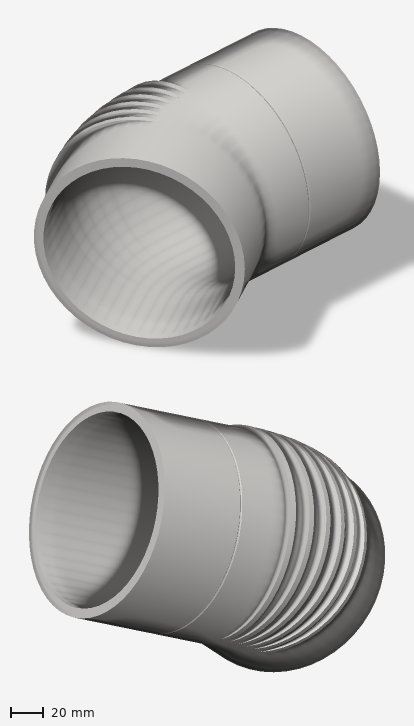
import cadquery as cq

outer_radius = 67.53
wall = 6.1
inner_radius = outer_radius - wall

bend_angle = 30
bend_radius = outer_radius + 2.2
lower_length = 46.5
upper_length = 96.2

groove_from_end = 59.1
groove_width = 1.5
groove_depth = 0.8

rib_count = 6
rib_width = 4.0
rib_offset = 5.8


def turn(body, angle):
    """Swing a body clockwise about the bend axis."""
    return body.rotate((bend_radius, 0, 0), (bend_radius, 0, 1), -angle)


def cylinder(radius, start, length):
    """Cylinder along +Y beginning at y = start."""
    plane = cq.Plane(origin=(0, start, 0), xDir=(1, 0, 0), normal=(0, 1, 0))
    return cq.Workplane(plane).circle(radius).extrude(length)


def elbow(radius):
    """Solid bent bar: lower leg, bend and upper leg."""
    lower = cylinder(radius, -lower_length, lower_length)
    bend = (
        cq.Workplane("XZ")
        .circle(radius)
        .revolve(bend_angle, (bend_radius, 0), (bend_radius, -1))
    )
    upper = turn(cylinder(radius, 0, upper_length), bend_angle)
    return lower.union(bend).union(upper)


def rib(angle):
    """Pipe-sized disc shifted outward, so only a crescent stands proud."""
    disc = cylinder(outer_radius, -rib_width / 2, rib_width)
    return turn(disc.translate((-rib_offset, 0, 0)), angle)


def groove():
    """V-shaped ring that cuts the groove in the upper pipe."""
    end_edge = upper_length - groove_from_end
    ring = (
        cq.Workplane("XY")
        .moveTo(outer_radius, end_edge - groove_width)
        .lineTo(outer_radius, end_edge)
        .lineTo(outer_radius - groove_depth, end_edge - groove_width / 2)
        .close()
        .revolve(360, (0, 0), (0, 1))
    )
    return turn(ring, bend_angle)


body = elbow(outer_radius)
for index in range(rib_count):
    body = body.union(rib(bend_angle * index / (rib_count - 1)))

result = body.cut(elbow(inner_radius)).cut(groove())